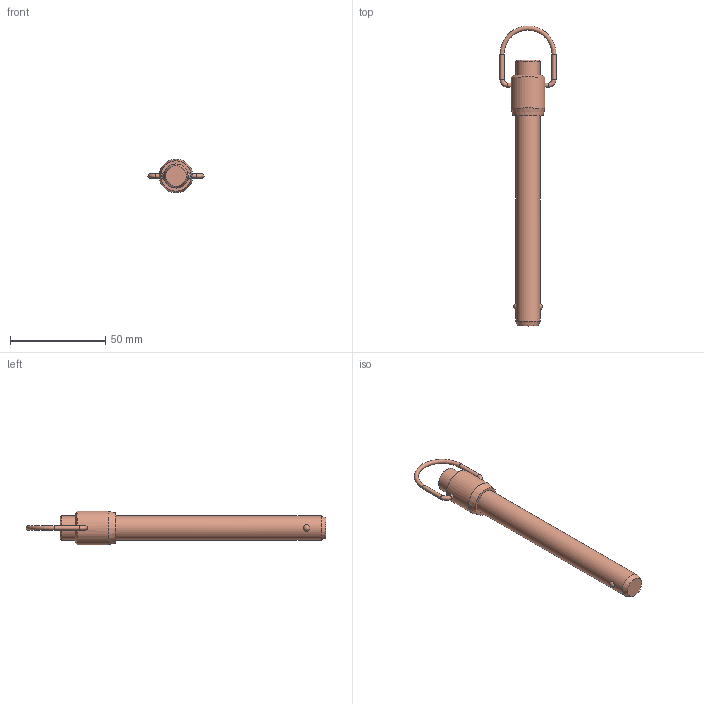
import cadquery as cq

overall_width = 29.46
overall_length = 157.73
body_diameter = 17.78

shank_diameter = 12.7
shank_length = 110.6
tip_diameter = 10.7
tip_taper_length = 2.6

body_length = 20.3
shoulder_diameter = 15.9
shoulder_taper_length = 4.0
crown_diameter = 13.7
crown_height = 1.0

button_diameter = 12.7
button_top = 29.1
button_chamfer = 0.4

ball_diameter = 3.5
ball_span = 15.0
ball_from_tip = 10.2

wire_diameter = 2.2
ring_corner_radius = 3.0
ring_foot = 16.0

ring_half_width = (overall_width - wire_diameter) / 2
ring_apex = overall_length - shank_length - wire_diameter / 2
ring_arc_center = ring_apex - ring_half_width


def make_pin():
    """Shank, handle body and button, revolved about Y."""
    body_top = body_length + crown_height
    return (
        cq.Workplane("XY")
        .moveTo(0, -shank_length)
        .lineTo(tip_diameter / 2, -shank_length)
        .lineTo(shank_diameter / 2, tip_taper_length - shank_length)
        .lineTo(shank_diameter / 2, 0)
        .lineTo(shoulder_diameter / 2, 0)
        .lineTo(body_diameter / 2, shoulder_taper_length)
        .lineTo(body_diameter / 2, body_length)
        .lineTo(crown_diameter / 2, body_top)
        .lineTo(button_diameter / 2, body_top)
        .lineTo(button_diameter / 2, button_top - button_chamfer)
        .lineTo(button_diameter / 2 - button_chamfer, button_top)
        .lineTo(0, button_top)
        .close()
        .revolve(360, (0, 0, 0), (0, 1, 0))
    )


def make_ring():
    """Wire ring in the XY plane, with both ends running into the body."""
    corner_x = ring_half_width - ring_corner_radius
    corner_y = ring_foot + ring_corner_radius
    end_x = shank_diameter / 2
    path = (
        cq.Workplane("XY")
        .moveTo(-end_x, ring_foot)
        .lineTo(-corner_x, ring_foot)
        .tangentArcPoint((-ring_half_width, corner_y), relative=False)
        .lineTo(-ring_half_width, ring_arc_center)
        .threePointArc((0, ring_apex), (ring_half_width, ring_arc_center))
        .lineTo(ring_half_width, corner_y)
        .tangentArcPoint((corner_x, ring_foot), relative=False)
        .lineTo(end_x, ring_foot)
    )
    section = cq.Workplane("YZ", origin=(-end_x, ring_foot, 0)).circle(wire_diameter / 2)
    return section.sweep(path)


def make_ball(side):
    """Locking ball protruding from the shank on the given X side."""
    center_x = side * (ball_span - ball_diameter) / 2
    center_y = ball_from_tip - shank_length
    return cq.Workplane("XY", origin=(center_x, center_y, 0)).sphere(ball_diameter / 2)


result = make_pin().union(make_ring())
for side in (-1, 1):
    result = result.union(make_ball(side))